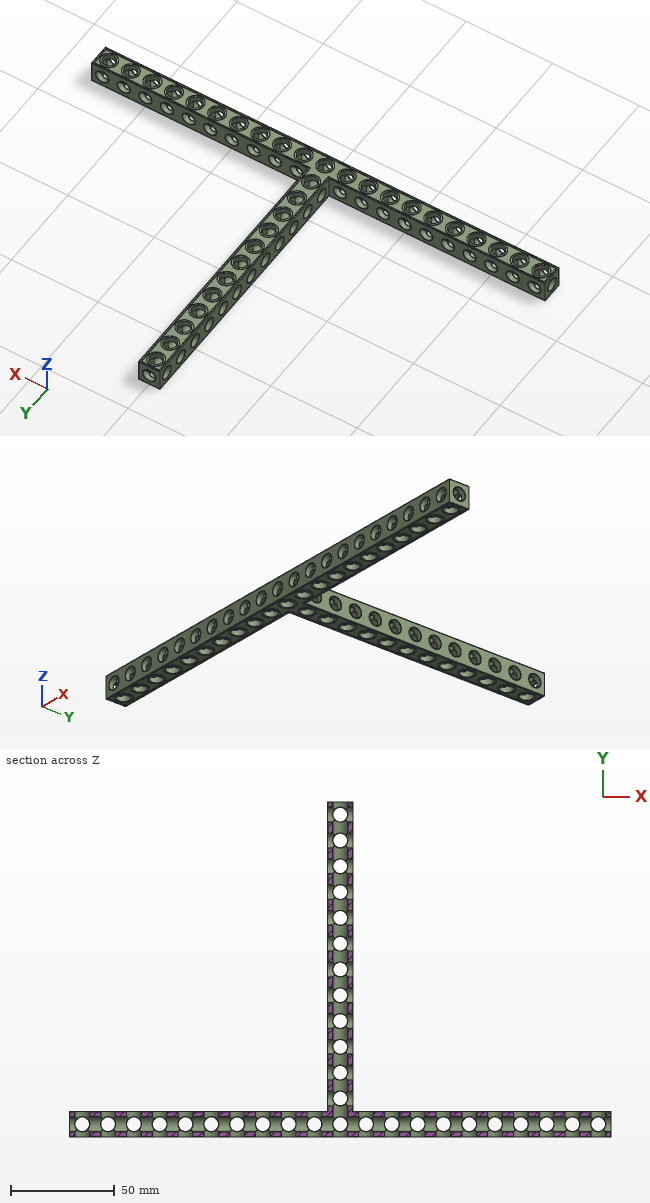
import cadquery as cq

overall_length = 262.5
bar_holes = 21
arm_holes = 12
pitch = overall_length / bar_holes

height = pitch
side_setback = 0.1
width = pitch - 2 * side_setback

hole_diameter = 7.0
side_ring_diameter = 7.5
face_ring_diameter = 9.2
rim_width = 0.92
recess_depth = 0.3

bar_xs = [(i - (bar_holes - 1) / 2) * pitch for i in range(bar_holes)]
arm_ys = [(i + 1) * pitch for i in range(arm_holes)]
vertical_holes = [(x, 0) for x in bar_xs] + [(0, y) for y in arm_ys]

bar_half = overall_length / 2
arm_tip = arm_ys[-1] + pitch / 2


def tee(inset, bottom, thickness):
    """Solid T from `bottom` upwards, its outline moved `inset` inside the beam sides."""
    beam = width - 2 * inset
    tip = arm_tip - side_setback - inset
    level = cq.Workplane("XY").workplane(offset=bottom)
    bar = level.rect(2 * (bar_half - side_setback - inset), beam).extrude(thickness)
    arm = level.center(0, tip / 2).rect(beam, tip).extrude(thickness)
    return bar.union(arm)


def rods_along_x(diameter, positions, start, end):
    plane = cq.Workplane("YZ", origin=(start, 0, 0))
    return plane.pushPoints([(y, 0) for y in positions]).circle(diameter / 2).extrude(end - start)


def rods_along_y(diameter, positions, start, end):
    plane = cq.Workplane("XZ", origin=(0, start, 0))
    return plane.pushPoints([(x, 0) for x in positions]).circle(diameter / 2).extrude(start - end)


def rods_along_z(diameter, start, end):
    plane = cq.Workplane("XY", origin=(0, 0, start))
    return plane.pushPoints(vertical_holes).circle(diameter / 2).extrude(end - start)


def side_rods(diameter):
    """Cylinders on every horizontal hole axis, reaching the full outer size of the part."""
    side_xs = [x for x in bar_xs if x != 0]
    rods = rods_along_x(diameter, [0], -bar_half, bar_half)
    rods = rods.union(rods_along_x(diameter, arm_ys, -pitch / 2, pitch / 2))
    rods = rods.union(rods_along_y(diameter, side_xs, -pitch / 2, pitch / 2))
    return rods.union(rods_along_y(diameter, [0], -pitch / 2, arm_tip))


body = tee(0, -height / 2, height)

recesses = tee(rim_width, height / 2 - recess_depth, recess_depth)
recesses = recesses.union(tee(rim_width, -height / 2, recess_depth))
face_rings = rods_along_z(face_ring_diameter, -height / 2, height / 2)
body = body.cut(recesses.cut(face_rings))

body = body.union(side_rods(side_ring_diameter))

body = body.cut(rods_along_z(hole_diameter, -height / 2, height / 2))
body = body.cut(side_rods(hole_diameter))

result = body